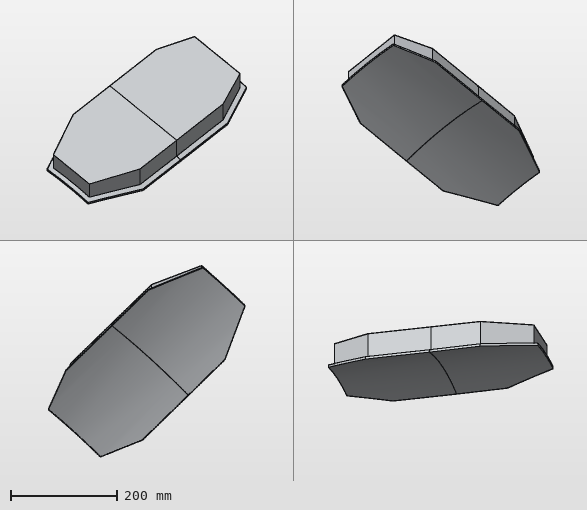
import cadquery as cq
import math

HALF_WIDTH = 100.0
REAR_LENGTH = 205.5
REAR_SHOULDER = 124.5
REAR_END_HALF_WIDTH = 68.0
FRONT_LENGTH = 199.5
FRONT_SHOULDER = 99.0
FRONT_END_HALF_WIDTH = 55.0

HEIGHT = 56.5
FLANGE_WIDTH = 10.0
FLANGE_THICKNESS = 5.0
UNDERSIDE_RADIUS = 437.5
FRONT_TILT = 0.5

CROWN_HEIGHT = UNDERSIDE_RADIUS - math.sqrt(UNDERSIDE_RADIUS**2 - HALF_WIDTH**2)
AXIS_HEIGHT = CROWN_HEIGHT - UNDERSIDE_RADIUS
CUTTER_LENGTH = 3 * max(REAR_LENGTH, FRONT_LENGTH)


def full_outline():
    """Closed eight-sided outline of both halves together."""
    right_side = [
        (FRONT_END_HALF_WIDTH, -FRONT_LENGTH),
        (HALF_WIDTH, -FRONT_SHOULDER),
        (HALF_WIDTH, REAR_SHOULDER),
        (REAR_END_HALF_WIDTH, REAR_LENGTH),
    ]
    left_side = [(-x, y) for x, y in reversed(right_side)]
    return cq.Workplane("XY").polyline(right_side + left_side).close()


def arch(radius, tilt):
    """Long cylinder along Y, tilted about the X axis line through the crown."""
    return (
        cq.Workplane("XZ")
        .center(0, AXIS_HEIGHT)
        .circle(radius)
        .extrude(CUTTER_LENGTH / 2, both=True)
        .rotate((0, 0, CROWN_HEIGHT), (1, 0, CROWN_HEIGHT), -tilt)
    )


def half_space(direction):
    """Box on one side of the joint plane; direction is +1 for rear, -1 for front."""
    return (
        cq.Workplane("XY")
        .box(CUTTER_LENGTH, CUTTER_LENGTH, CUTTER_LENGTH)
        .translate((0, direction * CUTTER_LENGTH / 2, 0))
    )


def pad_half(direction, tilt):
    """Flat-topped block with an arched underside and a thin curved flange around it."""
    block = full_outline().offset2D(-FLANGE_WIDTH, "intersection").extrude(HEIGHT)
    flange = full_outline().extrude(HEIGHT).intersect(arch(UNDERSIDE_RADIUS + FLANGE_THICKNESS, tilt))
    body = block.union(flange).cut(arch(UNDERSIDE_RADIUS, tilt))
    return body.intersect(half_space(direction)).solids().val()


rear_half = pad_half(direction=1, tilt=0)
front_half = pad_half(direction=-1, tilt=FRONT_TILT)

result = cq.Compound.makeCompound([rear_half, front_half])